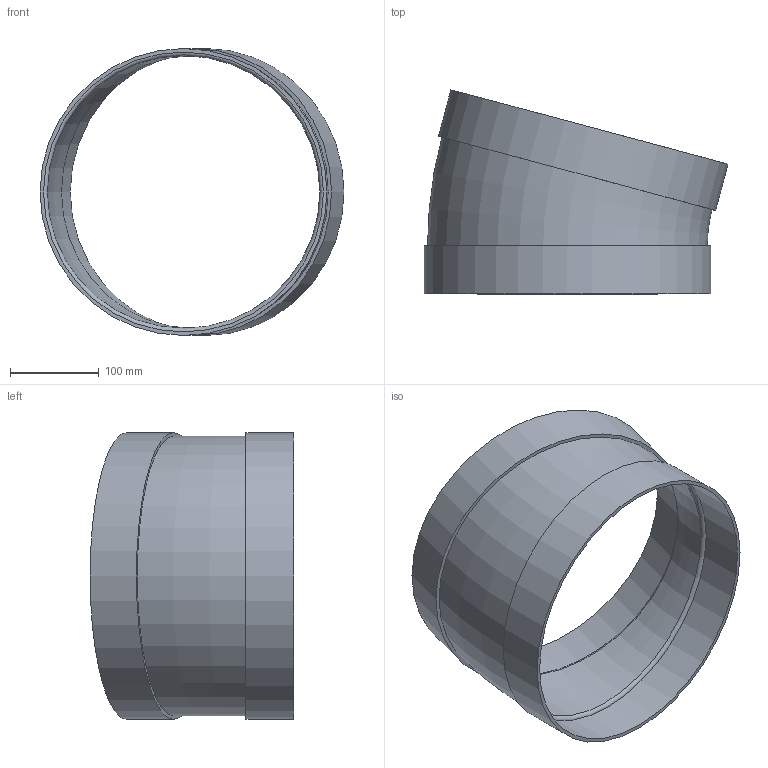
import cadquery as cq
import math

bend_angle = 15.0
pipe_diameter = 315.0
wall = 4.0
bend_radius = pipe_diameter
socket_length = 54.0

socket_bore_radius = pipe_diameter / 2
socket_outer_radius = socket_bore_radius + wall
body_outer_radius = socket_bore_radius
body_bore_radius = body_outer_radius - wall
shoulder_start = socket_length - wall

bend_center = (bend_radius, socket_length)


def socket():
    """Straight socket along +Y, open at Y = 0, whose bore rounds inwards to meet the body bore."""
    diagonal_offset = wall * math.sqrt(0.5)
    shoulder_middle = (socket_bore_radius - diagonal_offset, socket_length - diagonal_offset)
    return (
        cq.Workplane("XY")
        .moveTo(socket_bore_radius, 0)
        .lineTo(socket_outer_radius, 0)
        .lineTo(socket_outer_radius, socket_length)
        .lineTo(body_bore_radius, socket_length)
        .threePointArc(shoulder_middle, (socket_bore_radius, shoulder_start))
        .close()
        .revolve(360, (0, 0, 0), (0, 1, 0))
    )


def bent_body():
    """Curved pipe that joins the two sockets."""
    axis_start = (bend_radius, 0, 0)
    axis_end = (bend_radius, -1, 0)
    return (
        cq.Workplane("XZ", origin=(0, socket_length, 0))
        .circle(body_outer_radius)
        .circle(body_bore_radius)
        .revolve(bend_angle, axis_start, axis_end)
    )


def outlet_socket():
    """Inlet socket mirrored to the far end of the body and turned through the bend."""
    pivot = (*bend_center, 0)
    pivot_above = (*bend_center, 1)
    return (
        socket()
        .mirror("XZ", (0, socket_length, 0))
        .rotate(pivot, pivot_above, -bend_angle)
    )


result = bent_body().union(socket()).union(outlet_socket())